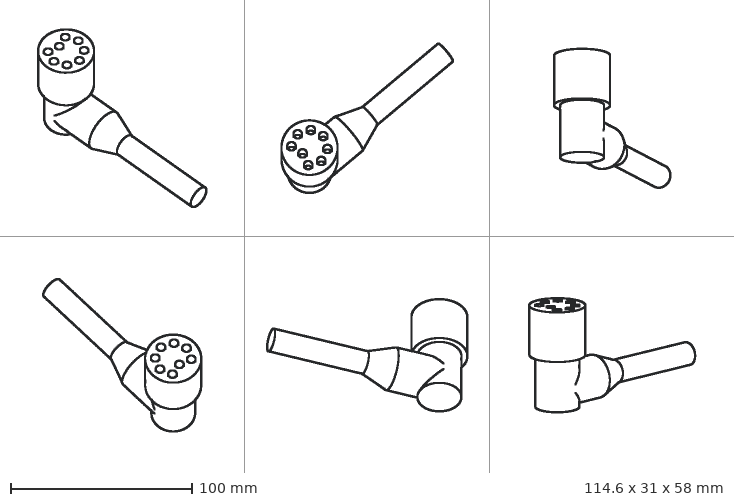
import cadquery as cq
import math

total_length = 114.6
total_height = 58.0

head_diameter = 31.0
head_height = 28.3
post_diameter = 24.4

arm_axis_z = post_diameter / 2
arm_end_x = 28.4
cone_end_x = 43.9
cable_diameter = 13.0
cable_end_x = total_length - head_diameter / 2

socket_diameter = 4.8
socket_depth = 11.5
ring_radius = 10.0
ring_positions = 8
inner_socket_radius = 5.0
inner_socket_index = 4


def make_plug():
    post = cq.Workplane("XY").circle(post_diameter / 2).extrude(total_height)
    head = (
        cq.Workplane("XY")
        .workplane(offset=total_height - head_height)
        .circle(head_diameter / 2)
        .extrude(head_height)
    )
    return post.union(head)


def make_cable_arm():
    """Revolved profile: sleeve, tapered strain relief, then cable."""
    arm_radius = post_diameter / 2
    cable_radius = cable_diameter / 2
    profile = [
        (0, 0),
        (0, arm_radius),
        (arm_end_x, arm_radius),
        (cone_end_x, cable_radius),
        (cable_end_x, cable_radius),
        (cable_end_x, 0),
    ]
    arm = cq.Workplane("XZ").polyline(profile).close().revolve(360, (0, 0), (1, 0))
    return arm.translate((0, 0, arm_axis_z))


def make_sockets():
    centres = []
    for index in range(ring_positions):
        angle = 2 * math.pi * index / ring_positions
        radius = inner_socket_radius if index == inner_socket_index else ring_radius
        centres.append((radius * math.cos(angle), radius * math.sin(angle)))
    return (
        cq.Workplane("XY")
        .workplane(offset=total_height)
        .pushPoints(centres)
        .circle(socket_diameter / 2)
        .extrude(-socket_depth)
    )


result = make_plug().union(make_cable_arm()).cut(make_sockets())